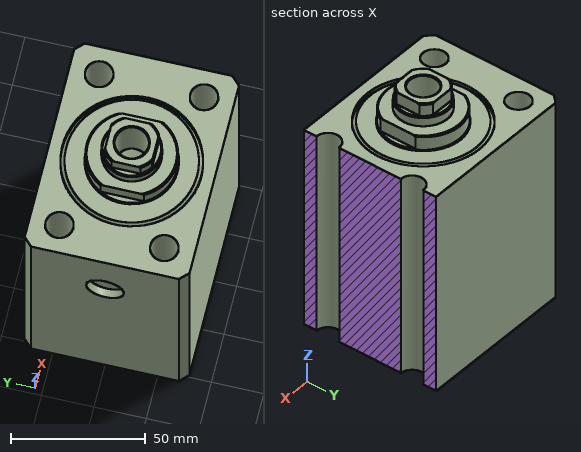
import cadquery as cq
import math

LENGTH = 85.0
WIDTH = 63.0
HOUSING_HEIGHT = 93.0
CORNER_CHAMFER = 3.3
BOLT_HOLE_DIAMETER = 10.5
BOLT_SPACING_X = 63.0
BOLT_SPACING_Y = 40.0

PORT_DIAMETER = 14.3
PORT_DEPTH = 3.5
PORT_BELOW_TOP = 24.0

GLAND_DIAMETER = 53.0
GLAND_DEPTH = 19.8
GLAND_CHAMFER = 1.5

TOTAL_HEIGHT = 109.9
SHANK_DIAMETER = 35.1
SHOULDER_DIAMETER = 34.4
SHOULDER_HEIGHT = 6.8
SHOULDER_FLATS = 30.1
FLATS_ABOVE_HOUSING = 0.7
COLLAR_DIAMETER = 22.6
COLLAR_HEIGHT = 4.4
HEAD_DIAMETER = 21.2
HEAD_FLATS = 18.1
EDGE_CHAMFER = 0.4
ROD_HOLE_DIAMETER = 12.7
ROD_HOLE_CHAMFER = 0.3
ROD_HOLE_DEPTH = 19.8
DRILL_TIP_ANGLE = 118.0

gland_bottom = HOUSING_HEIGHT - GLAND_DEPTH
shoulder_top = HOUSING_HEIGHT + SHOULDER_HEIGHT
collar_top = shoulder_top + COLLAR_HEIGHT


def cylinder(diameter, bottom, top):
    """Upright cylinder on the Z axis between two heights."""
    return cq.Workplane("XY").workplane(offset=bottom).circle(diameter / 2).extrude(top - bottom)


def make_housing():
    block = cq.Workplane("XY").box(LENGTH, WIDTH, HOUSING_HEIGHT, centered=(True, True, False))
    block = block.edges("|Z").chamfer(CORNER_CHAMFER)
    bolt_holes = (
        cq.Workplane("XY")
        .rect(BOLT_SPACING_X, BOLT_SPACING_Y, forConstruction=True)
        .vertices()
        .circle(BOLT_HOLE_DIAMETER / 2)
        .extrude(HOUSING_HEIGHT)
    )
    port = (
        cq.Workplane("YZ", origin=(-LENGTH / 2, 0, HOUSING_HEIGHT - PORT_BELOW_TOP))
        .circle(PORT_DIAMETER / 2)
        .extrude(PORT_DEPTH)
    )
    gland_recess = cylinder(GLAND_DIAMETER, gland_bottom, HOUSING_HEIGHT)
    return block.cut(bolt_holes).cut(port).cut(gland_recess)


def make_gland():
    disc = cylinder(GLAND_DIAMETER, gland_bottom, HOUSING_HEIGHT).faces(">Z").chamfer(GLAND_CHAMFER)
    bore = cylinder(SHANK_DIAMETER, gland_bottom, HOUSING_HEIGHT)
    return disc.cut(bore)


def make_rod_hole():
    """Blind hole from the top of the rod, ending in a drill tip."""
    radius = ROD_HOLE_DIAMETER / 2
    hole_bottom = TOTAL_HEIGHT - ROD_HOLE_DEPTH
    tip_height = radius / math.tan(math.radians(DRILL_TIP_ANGLE / 2))
    profile = [
        (0, TOTAL_HEIGHT),
        (radius + ROD_HOLE_CHAMFER, TOTAL_HEIGHT),
        (radius, TOTAL_HEIGHT - ROD_HOLE_CHAMFER),
        (radius, hole_bottom),
        (0, hole_bottom - tip_height),
    ]
    return cq.Workplane("XZ").polyline(profile).close().revolve(360, (0, 0, 0), (0, 1, 0))


def make_rod():
    shank_chamfer = (SHANK_DIAMETER - SHOULDER_DIAMETER) / 2
    shank_top = HOUSING_HEIGHT + shank_chamfer
    shank = cylinder(SHANK_DIAMETER, gland_bottom, shank_top).faces(">Z").chamfer(shank_chamfer)

    shoulder = cylinder(SHOULDER_DIAMETER, shank_top, shoulder_top).faces(">Z").chamfer(EDGE_CHAMFER)
    between_flats = cq.Workplane("XY").box(
        SHOULDER_FLATS, SHOULDER_DIAMETER, shoulder_top, centered=(True, True, False)
    )
    flats_bottom = HOUSING_HEIGHT + FLATS_ABOVE_HOUSING
    shoulder_base = cylinder(SHOULDER_DIAMETER, shank_top, flats_bottom)
    shoulder = shoulder.intersect(between_flats).union(shoulder_base)

    collar = cylinder(COLLAR_DIAMETER, shoulder_top, collar_top).faces(">Z").chamfer(EDGE_CHAMFER)

    head = cylinder(HEAD_DIAMETER, collar_top, TOTAL_HEIGHT).faces(">Z").chamfer(EDGE_CHAMFER)
    square = cq.Workplane("XY").box(HEAD_FLATS, HEAD_FLATS, TOTAL_HEIGHT, centered=(True, True, False))
    head = head.intersect(square)

    rod = shank.union(shoulder).union(collar).union(head)
    return rod.cut(make_rod_hole())


housing = make_housing()
gland = make_gland()
rod = make_rod()
result = cq.Compound.makeCompound([housing.val(), gland.val(), rod.val()])